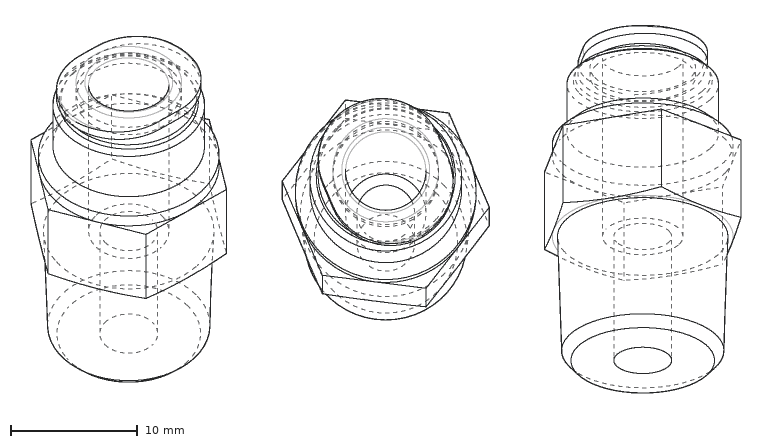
import cadquery as cq
import math

total_height = 27.0

thread_top_z = 11.0
thread_top_radius = 6.74
thread_taper = 1 / 16
thread_chamfer_height = 0.85
thread_end_radius = 5.68

hex_sides = 6
hex_half_angle = 180 / hex_sides
hex_across_flats = 14.3
hex_across_corners = hex_across_flats / math.cos(math.radians(hex_half_angle))
hex_top_z = 18.15
hex_chamfer_height = 0.27

collar_radius = hex_across_flats / 2
collar_top_z = 19.2
body_radius = 6.0
shoulder_top_z = 20.22
body_chamfer_z = 24.55
rim_base_radius = 5.5
rim_base_z = 24.88
rim_top_radius = 5.35
rim_top_z = 25.2

neck_diameter = 8.35
neck_radius = neck_diameter / 2
flange_bottom_z = 26.0
flange_width = 9.9
flange_length = 11.9
flange_edge_z = 26.75
flange_edge_fillet = 0.2

through_diameter = 4.57
tube_diameter = 6.35
tube_depth = 16.0
mouth_fillet = 0.3


def revolve_profile(points):
    """Revolve a closed (radius, z) outline about the Z axis."""
    return cq.Workplane("XZ").polyline(points).close().revolve(360, (0, 0, 0), (0, 1, 0))


def make_thread():
    chamfer_drop = thread_top_z - thread_chamfer_height
    chamfer_radius = thread_top_radius - chamfer_drop * thread_taper / 2
    return revolve_profile([
        (0, 0),
        (thread_end_radius, 0),
        (chamfer_radius, thread_chamfer_height),
        (thread_top_radius, thread_top_z),
        (0, thread_top_z),
    ])


def make_hexagon():
    """Hexagon with corners on the Y axis, its lower corners cut by a cone."""
    height = hex_top_z - thread_top_z
    prism = (
        cq.Workplane("XY")
        .workplane(offset=thread_top_z)
        .polygon(hex_sides, hex_across_corners)
        .extrude(height)
        .rotate((0, 0, 0), (0, 0, 1), hex_half_angle)
    )
    corner_radius = hex_across_corners / 2
    cone = revolve_profile([
        (0, thread_top_z),
        (hex_across_flats / 2, thread_top_z),
        (corner_radius, thread_top_z + hex_chamfer_height),
        (corner_radius, hex_top_z),
        (0, hex_top_z),
    ])
    return prism.intersect(cone)


def make_body():
    return revolve_profile([
        (0, hex_top_z),
        (collar_radius, hex_top_z),
        (collar_radius, collar_top_z),
        (body_radius, shoulder_top_z),
        (body_radius, body_chamfer_z),
        (rim_base_radius, rim_base_z),
        (rim_top_radius, rim_top_z),
        (0, rim_top_z),
    ])


def make_flange_disc():
    """Disc with a conical top and a rim fillet tangent to both the cone and the side."""
    rim_radius = flange_length / 2
    slope = math.atan2(total_height - flange_edge_z, rim_radius - neck_radius)
    center_radius = rim_radius - flange_edge_fillet
    cone_z = total_height - (center_radius - neck_radius) * math.tan(slope)
    center_z = cone_z - flange_edge_fillet / math.cos(slope)
    fillet_top = (
        center_radius + flange_edge_fillet * math.sin(slope),
        center_z + flange_edge_fillet * math.cos(slope),
    )
    return (
        cq.Workplane("XZ")
        .moveTo(0, flange_bottom_z)
        .lineTo(rim_radius, flange_bottom_z)
        .lineTo(rim_radius, center_z)
        .tangentArcPoint(fillet_top, relative=False)
        .lineTo(neck_radius, total_height)
        .lineTo(0, total_height)
        .close()
        .revolve(360, (0, 0, 0), (0, 1, 0))
    )


def make_release_ring():
    """Round neck with an obround flange, cut from a disc with a sloped top and rounded rim."""
    neck = (
        cq.Workplane("XY")
        .workplane(offset=rim_top_z)
        .circle(neck_radius)
        .extrude(total_height - rim_top_z)
    )
    obround = (
        cq.Workplane("XY")
        .workplane(offset=flange_bottom_z)
        .slot2D(flange_length, flange_width, 90)
        .extrude(total_height - flange_bottom_z)
    )
    sloped_disc = make_flange_disc()
    return neck.union(obround.intersect(sloped_disc))


def make_bore():
    """Through hole and wider tube socket, with a rounded mouth."""
    tube_radius = tube_diameter / 2
    through_radius = through_diameter / 2
    socket_floor_z = total_height - tube_depth
    return (
        cq.Workplane("XZ")
        .moveTo(0, 0)
        .lineTo(through_radius, 0)
        .lineTo(through_radius, socket_floor_z)
        .lineTo(tube_radius, socket_floor_z)
        .lineTo(tube_radius, total_height - mouth_fillet)
        .radiusArc((tube_radius + mouth_fillet, total_height), mouth_fillet)
        .lineTo(0, total_height)
        .close()
        .revolve(360, (0, 0, 0), (0, 1, 0))
    )


outside = make_thread().union(make_hexagon()).union(make_body()).union(make_release_ring())
result = outside.cut(make_bore())